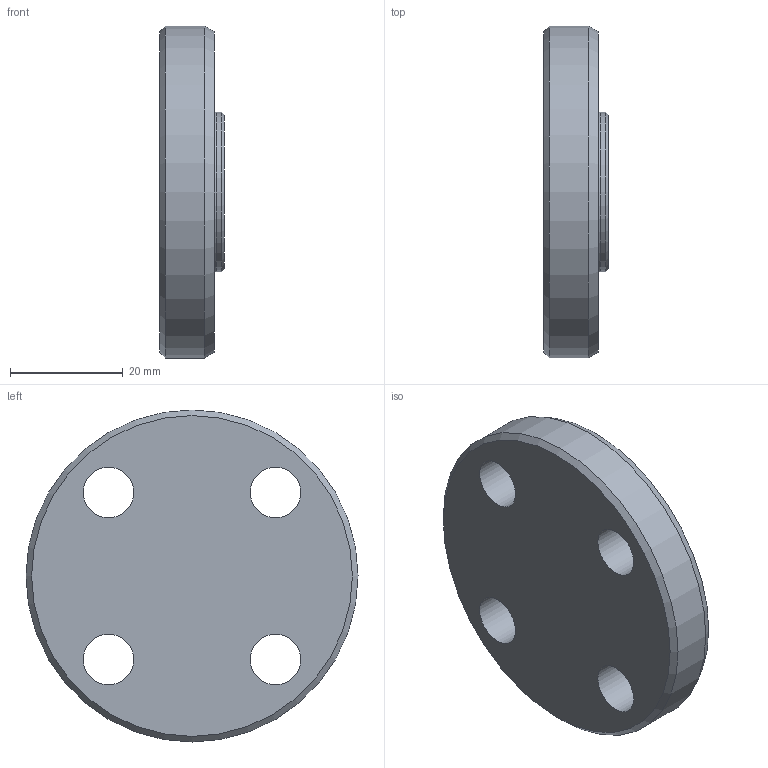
import cadquery as cq
import math

disc_diameter = 59.0
disc_thickness = 9.7
disc_edge_drop = 1.0
back_bevel_length = 1.0
front_bevel_angle = 30.0

overall_length = 11.5
boss_diameter = 28.3
boss_chamfer = 0.5
foot_fillet = 0.35

hole_diameter = 9.0
hole_spacing = 29.7

front_bevel_length = disc_edge_drop / math.tan(math.radians(front_bevel_angle))
disc_radius = disc_diameter / 2
boss_radius = boss_diameter / 2


def make_body():
    """Revolve the half section of the disc and boss about the X axis."""
    rim_radius = disc_radius - disc_edge_drop
    fillet_mid_offset = foot_fillet * (1 - math.sqrt(0.5))
    profile = (
        cq.Workplane("XY")
        .lineTo(0, rim_radius)
        .lineTo(back_bevel_length, disc_radius)
        .lineTo(disc_thickness - front_bevel_length, disc_radius)
        .lineTo(disc_thickness, rim_radius)
        .lineTo(disc_thickness, boss_radius + foot_fillet)
        .threePointArc(
            (disc_thickness + fillet_mid_offset, boss_radius + fillet_mid_offset),
            (disc_thickness + foot_fillet, boss_radius),
        )
        .lineTo(overall_length - boss_chamfer, boss_radius)
        .lineTo(overall_length, boss_radius - boss_chamfer)
        .lineTo(overall_length, 0)
        .close()
    )
    return profile.revolve(360, (0, 0, 0), (1, 0, 0))


def make_holes():
    """Cylinders through the disc at the corners of a square."""
    return (
        cq.Workplane("YZ")
        .rect(hole_spacing, hole_spacing, forConstruction=True)
        .vertices()
        .circle(hole_diameter / 2)
        .extrude(overall_length)
    )


result = make_body().cut(make_holes())